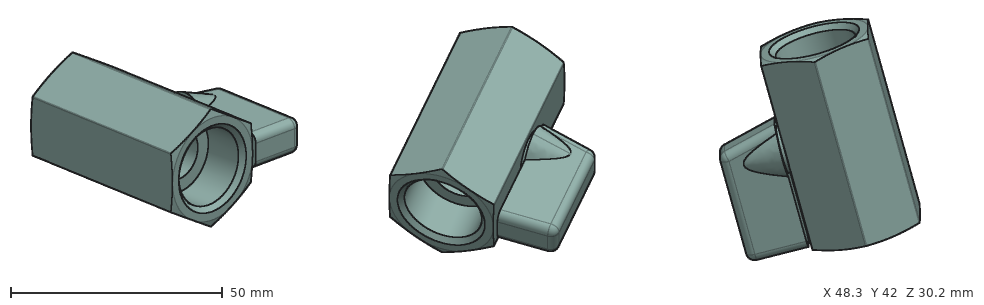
import cadquery as cq
import math

housing_length = 48.3
hex_across_flats = 26.2
hex_edge_radius = 0.3
end_chamfer_angle = 15.0
through_bore_diameter = 12.65
socket_diameter = 19.5
socket_mouth_diameter = 22.05
socket_mouth_depth = 1.3
socket_depth = 11.6

overall_depth = 42.0
stem_diameter = 11.6
stem_height = 1.05
paddle_thickness = 9.0
paddle_heel = 7.4
paddle_heel_angle = 15.0
paddle_edge_radius = 2.12
hub_half_length = 6.7
hub_half_width = 7.85
hub_apex_height = 21.95
hub_height = 10.6

hex_half_sector = math.radians(180 / 6)
half_length = housing_length / 2
flat_y = hex_across_flats / 2
hex_corner_radius = flat_y / math.cos(hex_half_sector)
paddle_base_y = flat_y + stem_height
paddle_height = overall_depth - hex_across_flats - stem_height


def make_hex_bar():
    """Hexagonal bar with corners at +Z and -Z and rounded long edges."""
    bar = (
        cq.Workplane("YZ")
        .workplane(offset=-half_length)
        .transformed(rotate=(0, 0, 90))
        .polygon(6, 2 * hex_corner_radius)
        .extrude(housing_length)
    )
    return bar.edges("|X").fillet(hex_edge_radius)


def make_end_chamfer_envelope():
    """Turned blank whose coned ends start at the hexagon's inscribed circle."""
    cone_length = (hex_corner_radius - flat_y) * math.tan(math.radians(end_chamfer_angle))
    profile = [
        (-half_length, 0),
        (-half_length, flat_y),
        (-half_length + cone_length, hex_corner_radius),
        (half_length - cone_length, hex_corner_radius),
        (half_length, flat_y),
        (half_length, 0),
    ]
    return cq.Workplane("XY").polyline(profile).close().revolve(360, (0, 0, 0), (1, 0, 0))


def make_bore():
    """Through bore with a wider, countersunk socket at each end."""
    bore_radius = through_bore_diameter / 2
    socket_radius = socket_diameter / 2
    mouth_radius = socket_mouth_diameter / 2
    socket_floor_x = half_length - socket_depth
    mouth_floor_x = half_length - socket_mouth_depth
    right_half = [
        (socket_floor_x, bore_radius),
        (socket_floor_x, socket_radius),
        (mouth_floor_x, socket_radius),
        (half_length, mouth_radius),
        (half_length, 0),
    ]
    left_half = [(-x, radius) for x, radius in reversed(right_half)]
    return (
        cq.Workplane("XY")
        .polyline(left_half + right_half)
        .close()
        .revolve(360, (0, 0, 0), (1, 0, 0))
    )


def make_housing():
    """Hexagonal bar with coned ends and a stepped bore."""
    return make_hex_bar().intersect(make_end_chamfer_envelope()).cut(make_bore())


def make_paddle():
    """Flat paddle with a sloping heel, rounded on every edge except those of its base."""
    heel_top_x = -paddle_heel + paddle_height * math.tan(math.radians(paddle_heel_angle))
    top_y = paddle_base_y + paddle_height
    outline = [
        (-paddle_heel, paddle_base_y),
        (half_length, paddle_base_y),
        (half_length, top_y),
        (heel_top_x, top_y),
    ]
    paddle = (
        cq.Workplane("XY")
        .polyline(outline)
        .close()
        .extrude(paddle_thickness / 2, both=True)
    )
    return paddle.edges("not(<Y)").fillet(paddle_edge_radius)


def make_hub():
    """Elliptical cone frustum that swells out of both sides of the paddle."""
    top_ratio = 1 - hub_height / hub_apex_height
    return (
        cq.Workplane("XZ", origin=(0, paddle_base_y, 0))
        .ellipse(hub_half_length, hub_half_width)
        .workplane(offset=-hub_height)
        .ellipse(hub_half_length * top_ratio, hub_half_width * top_ratio)
        .loft(ruled=True)
    )


def make_stem():
    """Round stem from the housing flat to the base of the paddle."""
    return (
        cq.Workplane("XZ", origin=(0, flat_y, 0))
        .circle(stem_diameter / 2)
        .extrude(-stem_height)
    )


def make_handle():
    """Paddle, hub and stem joined into one body."""
    return make_paddle().union(make_hub()).union(make_stem())


housing = make_housing()
handle = make_handle()

result = cq.Compound.makeCompound([housing.val(), handle.val()])